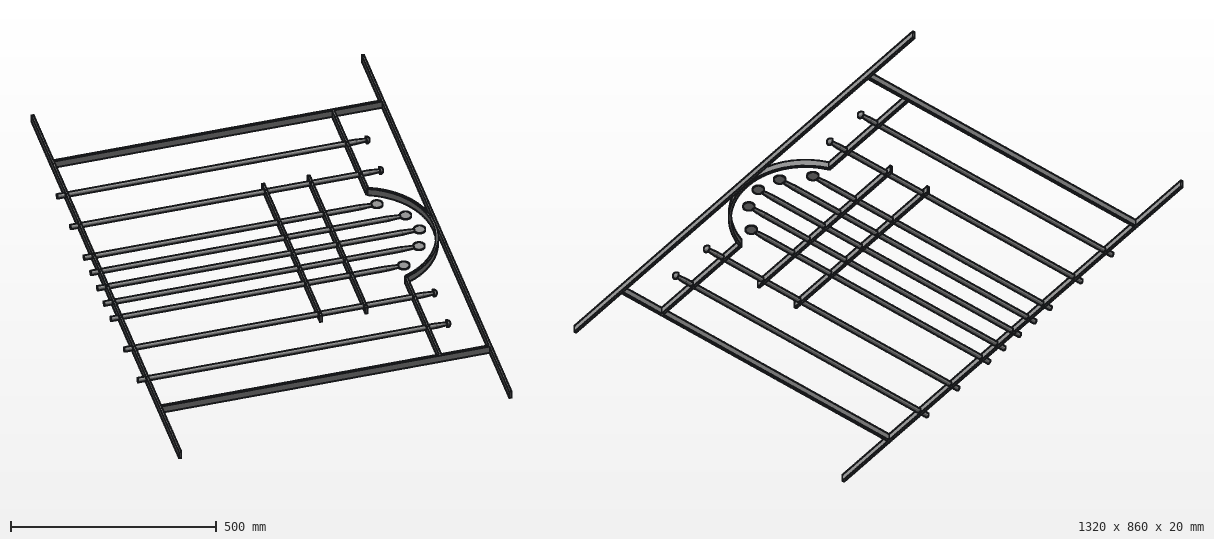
import cadquery as cq
import math

LENGTH = 1320.0
HEIGHT = 860.0
PITCH = LENGTH / 11

BAR_WIDTH = 20.0
BAR_THICKNESS = 6.0

ROD_RADIUS = 6.0
ROD_FOOT = 20.0
TAPER_TIP_RADIUS = 4.0
DISC_TAPER_LENGTH = 32.0
BUTTON_TAPER_LENGTH = 26.0

DISC_RADIUS = 15.0
DISC_THICKNESS = 3.0
DISC_OVERLAP = 1.0
BUTTON_RADIUS = 9.0

TOP_Y = HEIGHT / 2
ROD_FOOT_Y = -HEIGHT / 2
TOP_RAIL_Y = TOP_Y - BAR_THICKNESS / 2
BOTTOM_RAIL_Y = ROD_FOOT_Y + ROD_FOOT + BAR_THICKNESS / 2
POST_X = 4 * PITCH

SHOULDER_RAIL_Y = 301.0
SHOULDER_END_X = 172.0
ARCH_HALF_SPAN = 175.0
ARCH_TOP_Y = TOP_Y - BAR_THICKNESS

CROSS_RAIL_LENGTH = 517.0
CROSS_RAIL_YS = (62.0, 177.0)

BUTTON_RODS = ((2 * PITCH, 325.0), (3 * PITCH, 325.0))
MIDDLE_ROD_TAPER_Y = 339.0
DISC_RODS = ((PITCH / 2, 321.0), (PITCH, 265.0))


def rail(x_start, x_end, y):
    """Bar running along X."""
    bar = cq.Workplane("XY").box(x_end - x_start, BAR_THICKNESS, BAR_WIDTH)
    return bar.translate(((x_start + x_end) / 2, y, 0))


def post(x):
    """Bar running along Y from the bottom rail to the top rail."""
    bar = cq.Workplane("XY").box(BAR_THICKNESS, TOP_RAIL_Y - BOTTOM_RAIL_Y, BAR_WIDTH)
    return bar.translate((x, (TOP_RAIL_Y + BOTTOM_RAIL_Y) / 2, 0))


def arch():
    """Bar bent to a circular arc between the ends of the shoulder rails."""
    rise = ARCH_TOP_Y - SHOULDER_RAIL_Y
    outer_radius = (ARCH_HALF_SPAN**2 + rise**2) / (2 * rise)
    inner_radius = outer_radius - BAR_THICKNESS
    centre_y = ARCH_TOP_Y - outer_radius
    inner_half_span = math.sqrt(inner_radius**2 - (SHOULDER_RAIL_Y - centre_y) ** 2)
    return (
        cq.Workplane("XY", origin=(0, 0, -BAR_WIDTH / 2))
        .moveTo(-ARCH_HALF_SPAN, SHOULDER_RAIL_Y)
        .threePointArc((0, ARCH_TOP_Y), (ARCH_HALF_SPAN, SHOULDER_RAIL_Y))
        .lineTo(inner_half_span, SHOULDER_RAIL_Y)
        .threePointArc((0, ARCH_TOP_Y - BAR_THICKNESS), (-inner_half_span, SHOULDER_RAIL_Y))
        .close()
        .extrude(BAR_WIDTH)
    )


def tapered_rod(x, taper_y, taper_length):
    """Round rod along Y whose upper end tapers to a smaller tip."""
    tip_y = taper_y + taper_length
    return (
        cq.Workplane("XY")
        .moveTo(0, ROD_FOOT_Y)
        .lineTo(ROD_RADIUS, ROD_FOOT_Y)
        .lineTo(ROD_RADIUS, taper_y)
        .lineTo(TAPER_TIP_RADIUS, tip_y)
        .lineTo(0, tip_y)
        .close()
        .revolve(360, (0, 0, 0), (0, 1, 0))
        .translate((x, 0, 0))
    )


def button_rod(x, taper_y):
    """Tapered rod capped by a half-ball, flat side down."""
    diagonal = BUTTON_RADIUS * math.sqrt(0.5)
    button = (
        cq.Workplane("XY")
        .lineTo(BUTTON_RADIUS, 0)
        .threePointArc((diagonal, diagonal), (0, BUTTON_RADIUS))
        .close()
        .revolve(360, (0, 0, 0), (0, 1, 0))
        .translate((x, taper_y + BUTTON_TAPER_LENGTH, 0))
    )
    return tapered_rod(x, taper_y, BUTTON_TAPER_LENGTH).union(button)


def disc_rod(x, taper_y):
    """Tapered rod ending in a flat disc that lies in the XY plane."""
    disc_y = taper_y + DISC_TAPER_LENGTH + DISC_RADIUS - DISC_OVERLAP
    disc = cq.Workplane("XY").cylinder(DISC_THICKNESS, DISC_RADIUS).translate((x, disc_y, 0))
    return tapered_rod(x, taper_y, DISC_TAPER_LENGTH).union(disc)


result = rail(-LENGTH / 2, LENGTH / 2, BOTTOM_RAIL_Y)
result = result.union(rail(-LENGTH / 2, LENGTH / 2, TOP_RAIL_Y))
result = result.union(arch())
result = result.union(disc_rod(0, MIDDLE_ROD_TAPER_Y))
for cross_rail_y in CROSS_RAIL_YS:
    result = result.union(rail(-CROSS_RAIL_LENGTH / 2, CROSS_RAIL_LENGTH / 2, cross_rail_y))

result = result.union(rail(-POST_X, -SHOULDER_END_X, SHOULDER_RAIL_Y))
result = result.union(rail(SHOULDER_END_X, POST_X, SHOULDER_RAIL_Y))

for side in (-1, 1):
    result = result.union(post(side * POST_X))
    for distance, rod_taper_y in BUTTON_RODS:
        result = result.union(button_rod(side * distance, rod_taper_y))
    for distance, rod_taper_y in DISC_RODS:
        result = result.union(disc_rod(side * distance, rod_taper_y))